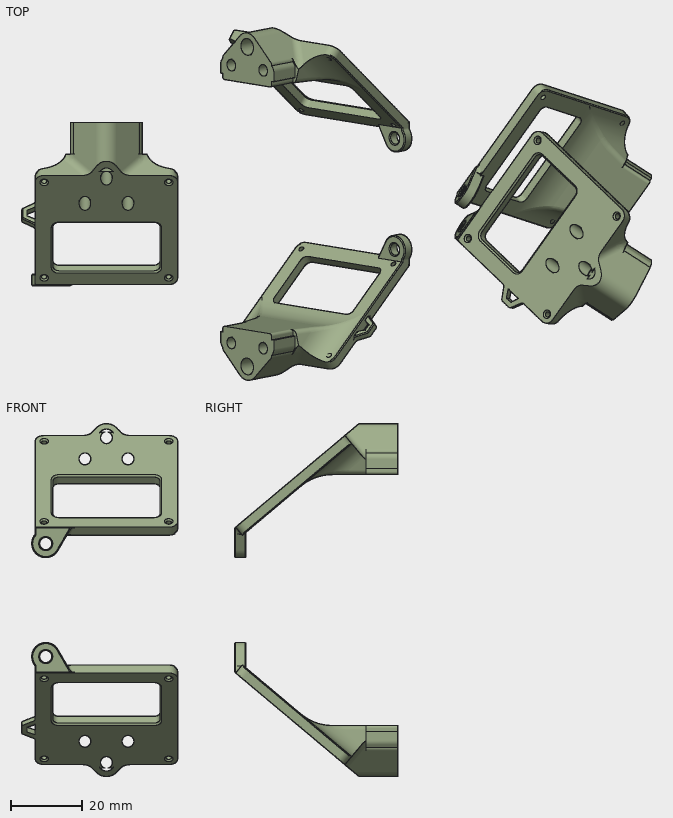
import cadquery as cq
import math


slope = 40.0
plate_thickness = 3.0
plate_size = 40.0
plate_bottom = 0.4
plate_corner_radius = 2.5
plate_edge_chamfer = 0.3
outer_face_front_z = 20.2
plate_top = plate_bottom + plate_size
plate_middle = plate_bottom + plate_size / 2

screw_spacing = 34.9
screw_hole_diameter = 1.5
screw_mouth_diameter = 2.4

window_width = 30.0
window_height = 17.7
window_middle = 14.0
window_corner_radius = 1.7
window_chamfer = 0.5

tail_end = 45.8
tail_top = 49.5
tail_bottom = 35.1
tail_wall_radius = 4.0
bore_diameter = 3.3
bore_offset = 6.0
bore_drop = 5.9
counterbore_diameter = 4.8
counterbore_start = 32.1
middle_bore_z = tail_top - tail_wall_radius
side_bore_z = middle_bore_z - bore_drop
core_half_width = 9.3
core_eaves_radius = 1.2
tail_edge_radius = 0.8

tail_half_width = 10.1
rail_bottom = 36.8
rail_side_top = 39.5
rail_shoulder_x = 9.7
rail_shoulder_z = 40.7
rail_top = 41.3
rail_round_radius = 2.0

flare_radius = 8.0
flare_lean = 20.0
flare_root_x = 19.2
flare_foot_depth = 11.9
flare_back_y = 36.9
under_blend_radius = 13.7
shoulder_radius = 2.5
shoulder_eaves_radius = 3.6
web_edge_radius = 1.7

web_edge_inner_x = 9.4
web_edge_outer_x = 11.9
web_edge_front_y = 29.7
web_edge_back_y = 39.6
shoulder_zone_half_width = 10.9
shoulder_zone_front_y = 31.2
shoulder_zone_back_y = 38.6
edge_margin = 0.1
lug_margin = 1.0

lug_x = -17.0
lug_z = 15.8
lug_radius = 4.0
lug_thickness = 3.3
lug_hole_diameter = 3.4
lug_chamfer = 0.3
lug_neck_radius = 1.0
lug_flank_radius = 1.2
lug_flank_angle = 60.0
flank_foot_x = -10.9

loop_middle = 25.1
loop_reach = 3.8
loop_base_half = 4.1
loop_tip_half = 1.8
loop_tip_radius = 0.8
loop_root_radius = 1.0
loop_chamfer = 0.3
loop_wall = 1.5
loop_hole_base_half = 2.2
loop_hole_tip_half = 1.0
loop_thickness = 1.8

sine = math.sin(math.radians(slope))
cosine = math.cos(math.radians(slope))
plate_bottom_z = outer_face_front_z + plate_bottom * sine - plate_thickness / 2 * cosine
plate_top_z = outer_face_front_z + plate_top * sine
reach = 99.0
shoulder_length = plate_top + 9.9

slope_plane = cq.Plane(origin=(0, 0, outer_face_front_z), xDir=(1, 0, 0), normal=(0, -sine, cosine))
section_plane = cq.Plane(origin=(0, 0, 0), xDir=(1, 0, 0), normal=(0, -1, 0))


def plate_outline(depth):
    """Square block under the outer face, three corners rounded and the lug corner left sharp."""
    block = (
        cq.Workplane(slope_plane)
        .center(0, plate_middle)
        .rect(plate_size, plate_size)
        .extrude(-depth)
    )
    sharp_corner = cq.selectors.NearestToPointSelector(
        slope_plane.toWorldCoords((-plate_size / 2, plate_bottom, -depth / 2)).toTuple()
    )
    depth_edges = cq.selectors.ParallelDirSelector(slope_plane.zDir)
    return block.edges(depth_edges - sharp_corner).fillet(plate_corner_radius)


def plate():
    """Outlined plate with its inner edges chamfered."""
    blank = plate_outline(plate_thickness)
    inner_face = cq.selectors.DirectionMinMaxSelector(slope_plane.zDir, False)
    return blank.faces(inner_face).chamfer(plate_edge_chamfer)


def add_roof(outline, half_width):
    """Continue an outline up one side of the tail, over the ridge and down to the other side."""
    diagonal = tail_wall_radius * math.sqrt(0.5)
    ridge_edge_z = middle_bore_z + diagonal
    eaves_z = ridge_edge_z + diagonal - half_width
    return (
        outline.lineTo(-half_width, eaves_z)
        .lineTo(-diagonal, ridge_edge_z)
        .threePointArc((0, tail_top), (diagonal, ridge_edge_z))
        .lineTo(half_width, eaves_z)
    )


def tail_core():
    """Roof-shaped block along Y with rounded eaves and lower edges."""
    outline = cq.Workplane(section_plane).moveTo(-core_half_width, tail_bottom)
    outline = add_roof(outline, core_half_width).lineTo(core_half_width, tail_bottom).close()
    walls = outline.extrude(-tail_end)
    walls = walls.edges("|Y").edges("<Z").fillet(tail_edge_radius)
    return walls.edges("|Y").edges(">X or <X").edges(">Z").fillet(core_eaves_radius)


def tail_rail():
    """Low rail along the -X side of the tail: flat below, rounded above."""
    return (
        cq.Workplane(section_plane)
        .moveTo(0, rail_bottom)
        .lineTo(0, rail_top)
        .lineTo(-core_half_width, rail_top)
        .lineTo(-rail_shoulder_x, rail_shoulder_z)
        .radiusArc((-tail_half_width, rail_side_top), -rail_round_radius)
        .lineTo(-tail_half_width, rail_bottom)
        .close()
        .extrude(-tail_end)
    )


def below_outer_face():
    return cq.Workplane(slope_plane).rect(2 * reach, 2 * reach).extrude(-reach)


def tail():
    """Tail core with both rails, trimmed flush with the outer face of the plate."""
    rail = tail_rail()
    block = tail_core().union(rail).union(rail.mirror("YZ"))
    return block.intersect(below_outer_face())


def shoulder():
    """Concave fillet between the tail and the upper end face of the plate and web."""
    outline = cq.Workplane(section_plane).moveTo(-tail_half_width, rail_bottom)
    outline = add_roof(outline, tail_half_width).lineTo(tail_half_width, rail_bottom).close()
    upper_tail = outline.extrude(-tail_end)
    upper_tail = upper_tail.edges("|Y").edges(">X or <X").edges(">Z").fillet(shoulder_eaves_radius)
    slab = (
        cq.Workplane(slope_plane)
        .center(0, plate_middle)
        .rect(2 * plate_size, plate_size)
        .extrude(-reach)
    )
    corner = upper_tail.union(slab)
    edge_zone = cq.selectors.BoxSelector(
        (-shoulder_zone_half_width, shoulder_zone_front_y, rail_bottom),
        (shoulder_zone_half_width, shoulder_zone_back_y, plate_top_z),
    )
    filleted = corner.edges(edge_zone).fillet(shoulder_radius)
    web_sides = web_section(shoulder_length)
    return filleted.cut(slab).intersect(below_outer_face()).intersect(web_sides)


def web_section(length):
    """Block along the slope whose sides sweep out to meet the plate tangentially."""
    lean = math.radians(flare_lean)
    turn = math.radians(90 - flare_lean)
    side_x = flare_root_x - flare_radius * math.sin(turn)
    side_depth = plate_thickness + flare_radius * (1 - math.cos(turn))
    arc_x = flare_root_x - flare_radius * math.sin(turn / 2)
    arc_depth = plate_thickness + flare_radius * (1 - math.cos(turn / 2))
    foot_depth = plate_thickness + flare_foot_depth
    foot_x = side_x - (foot_depth - side_depth) * math.tan(lean)
    return (
        cq.Workplane(slope_plane.rotated((90, 0, 0)))
        .moveTo(-flare_root_x, 0)
        .lineTo(-flare_root_x, -plate_thickness)
        .threePointArc((-arc_x, -arc_depth), (-side_x, -side_depth))
        .lineTo(-foot_x, -foot_depth)
        .lineTo(foot_x, -foot_depth)
        .lineTo(side_x, -side_depth)
        .threePointArc((arc_x, -arc_depth), (flare_root_x, -plate_thickness))
        .lineTo(flare_root_x, 0)
        .close()
        .extrude(-length)
    )


def flare():
    """Curved web that widens the tail towards the plate and blends its underside into it."""
    inner_face_front_z = outer_face_front_z - plate_thickness / cosine
    corner_y = (tail_bottom - inner_face_front_z) * cosine / sine
    half_turn = math.radians(slope / 2)
    tangent = under_blend_radius * math.tan(half_turn)
    blend_y = corner_y + tangent
    blend_start = (corner_y - tangent * cosine, tail_bottom - tangent * sine)
    blend_middle = (
        blend_y - under_blend_radius * math.sin(half_turn),
        tail_bottom - under_blend_radius * (1 - math.cos(half_turn)),
    )
    outer_face_end_z = outer_face_front_z + tail_end * sine / cosine
    profile = (
        cq.Workplane("YZ")
        .moveTo(*blend_start)
        .threePointArc(blend_middle, (blend_y, tail_bottom))
        .lineTo(tail_end, tail_bottom)
        .lineTo(tail_end, outer_face_end_z)
        .lineTo(0, outer_face_front_z)
        .lineTo(0, inner_face_front_z)
        .close()
        .extrude(reach, both=True)
    )
    web = web_section(plate_top).intersect(profile)
    for side in (-1, 1):
        lower_edge = cq.selectors.BoxSelector(
            (side * web_edge_inner_x, web_edge_front_y, tail_bottom - edge_margin),
            (side * web_edge_outer_x, web_edge_back_y, tail_bottom + edge_margin),
        )
        web = web.edges(lower_edge).fillet(web_edge_radius)
    return web.intersect(plate_outline(reach))


def lug():
    """Upright ear below the front corner, rounded round its hole."""
    flank = math.radians(lug_flank_angle)
    touch_x = lug_x + lug_radius * math.sin(flank)
    touch_z = lug_z - lug_radius * math.cos(flank)
    flank_top_x = touch_x + (outer_face_front_z - touch_z) / math.tan(flank)
    left_x = -plate_size / 2
    left_z = lug_z + math.sqrt(lug_radius**2 - (left_x - lug_x) ** 2)
    ear = (
        cq.Workplane(section_plane)
        .moveTo(left_x, outer_face_front_z)
        .lineTo(left_x, left_z)
        .threePointArc((lug_x, lug_z - lug_radius), (touch_x, touch_z))
        .lineTo(flank_top_x, outer_face_front_z)
        .close()
        .extrude(-lug_thickness)
    )
    neck = cq.selectors.NearestToPointSelector((left_x, lug_thickness / 2, left_z))
    ear = ear.edges(neck).fillet(lug_neck_radius)
    hole = cq.Workplane(section_plane).center(lug_x, lug_z).circle(lug_hole_diameter / 2).extrude(-reach)
    return ear.cut(hole)


def bores():
    """Three bores through the tail, the middle one widened behind."""
    holes = (
        cq.Workplane(section_plane)
        .pushPoints([(-bore_offset, side_bore_z), (0, middle_bore_z), (bore_offset, side_bore_z)])
        .circle(bore_diameter / 2)
        .extrude(-reach)
    )
    counterbore = (
        cq.Workplane(section_plane)
        .workplane(offset=-counterbore_start)
        .center(0, middle_bore_z)
        .circle(counterbore_diameter / 2)
        .extrude(-reach)
    )
    return holes.union(counterbore)


def window():
    """Rounded rectangular opening, chamfered at the outer face of the plate."""
    def opening(depth, margin, taper):
        return (
            cq.Workplane(slope_plane)
            .center(0, window_middle)
            .sketch()
            .rect(window_width + 2 * margin, window_height + 2 * margin)
            .vertices()
            .fillet(window_corner_radius + margin)
            .finalize()
            .extrude(-depth, taper=taper)
        )

    return opening(reach, 0, 0).union(opening(window_chamfer, window_chamfer, 45))


def screw_holes():
    """Countersunk through holes near the plate corners."""
    mouth_depth = (screw_mouth_diameter - screw_hole_diameter) / 2
    middle = cq.Workplane(slope_plane).center(0, plate_middle)
    corners = middle.rect(screw_spacing, screw_spacing, forConstruction=True)
    holes = corners.vertices().circle(screw_hole_diameter / 2).extrude(-plate_thickness)
    mouths = corners.vertices().circle(screw_mouth_diameter / 2).extrude(-mouth_depth, taper=45)
    return holes.union(mouths)


def strap_loop():
    """Trapezoidal eye standing out from the left edge of the plate, flush with its outer face."""
    root = cq.Workplane(slope_plane).center(-plate_size / 2, loop_middle)
    eye = (
        root.polyline([
            (0, -loop_base_half),
            (-loop_reach, -loop_tip_half),
            (-loop_reach, loop_tip_half),
            (0, loop_base_half),
        ])
        .close()
        .extrude(-loop_thickness)
    )
    depth_edges = cq.selectors.ParallelDirSelector(slope_plane.zDir)
    eye = eye.edges(depth_edges).edges("<X").fillet(loop_tip_radius)
    inner_face = cq.selectors.DirectionMinMaxSelector(slope_plane.zDir, False)
    eye = eye.faces(inner_face).edges().edges("not >X").chamfer(loop_chamfer)
    hole_reach = loop_reach - loop_wall
    hole = (
        root.polyline([
            (0, -loop_hole_base_half),
            (-hole_reach, -loop_hole_tip_half),
            (-hole_reach, loop_hole_tip_half),
            (0, loop_hole_base_half),
        ])
        .close()
        .extrude(-loop_thickness)
    )
    return eye.cut(hole)


def trimmed_web():
    """Web and shoulder, ending square behind where they stand out from the tail."""
    behind = cq.Workplane("XZ", origin=(0, flare_back_y, 0)).rect(2 * reach, 4 * reach).extrude(-reach)
    return flare().union(shoulder()).cut(behind)


def frame():
    """Plate and lug, blended where the lug flank meets the lower end of the plate."""
    body = plate().union(lug())
    flank = cq.selectors.NearestToPointSelector((flank_foot_x, lug_thickness / 2, plate_bottom_z))
    body = body.edges(flank).fillet(lug_flank_radius)
    lug_zone = cq.selectors.BoxSelector(
        (lug_x - lug_radius - lug_margin, -lug_margin, lug_z - lug_radius - lug_margin),
        (lug_x + lug_radius + lug_margin, lug_thickness + lug_margin, outer_face_front_z),
    )
    return body.edges("%CIRCLE").edges(lug_zone).chamfer(lug_chamfer)


def bracket():
    body = frame().union(trimmed_web()).union(tail())
    return body.cut(bores()).cut(window()).cut(screw_holes())


def add_strap_loop(body):
    """Join the strap loop to a bracket and round the two corners at its root."""
    body = body.union(strap_loop())
    for end in (-1, 1):
        root_along = loop_middle + end * loop_base_half
        root = slope_plane.toWorldCoords((-plate_size / 2, root_along, -loop_thickness / 2))
        root_edge = cq.selectors.NearestToPointSelector(root.toTuple())
        body = body.edges(root_edge).fillet(loop_root_radius)
    return body


upper_bracket = bracket()
lower_bracket = add_strap_loop(upper_bracket).mirror("XY")

result = cq.Compound.makeCompound([upper_bracket.val(), lower_bracket.val()])